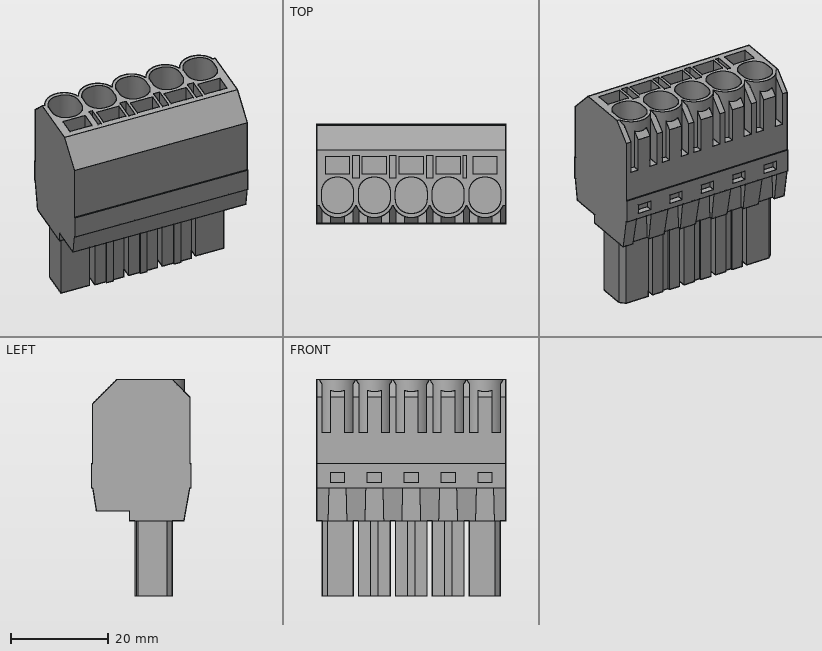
import cadquery as cq

pole_count = 5
pitch = 7.6
length = 39.0
depth = 20.6
height = 44.7

band_half_depth = depth / 2
body_half_depth = 10.05
skirt_half_depth = 10.0
band_top = 27.3
band_bottom = 22.25
skirt_bottom = 15.5
skirt_front_reach = 8.8
rear_step_z = 17.52
rear_step_reach = 9.25
rear_step_y = 2.45
front_chamfer = 3.65
rear_chamfer = 5.05

hole_y = -4.35
hole_width = 6.6
hole_length = 7.45
hole_corner_radius = 3.05
collar_y = -4.9
collar_radius = 4.02
cavity_floor = 33.75

finger_width = 2.85
slot_span = 6.3

window_width = 5.0
window_front_y = 0.1
window_rear_y = 3.65
marker_width = 1.4
last_marker_width = 0.7
marker_front_y = -0.75
marker_rear_y = 3.85

latch_width = 2.95
latch_bottom = 23.45
latch_top = 25.5
latch_depth = 1.35

recess_top_width = 3.55
recess_bottom_width = 3.9
recess_y = -8.1

peg_front_y = -6.4
middle_peg_rear_y = 0.95
end_peg_rear_y = 0.63
peg_width = 6.55
end_peg_outer = 3.17
peg_chamfer = 1.07
groove_width = 1.5
groove_depth = 0.45
rib_height = 0.35

pole_xs = [pitch * (i - (pole_count - 1) / 2) for i in range(pole_count)]


def box(x0, x1, y0, y1, z0, z1):
    """Axis-aligned box between two opposite corners."""
    return cq.Workplane("XY").box(x1 - x0, y1 - y0, z1 - z0, centered=False).translate((x0, y0, z0))


def housing():
    """Side profile extruded along the whole row."""
    profile = [
        (-body_half_depth + front_chamfer, height),
        (-body_half_depth, height - front_chamfer),
        (-body_half_depth, band_top),
        (-band_half_depth, band_top),
        (-band_half_depth, band_bottom),
        (-skirt_half_depth, band_bottom),
        (-skirt_front_reach, skirt_bottom),
        (rear_step_y, skirt_bottom),
        (rear_step_y, rear_step_z),
        (rear_step_reach, rear_step_z),
        (skirt_half_depth, band_bottom),
        (band_half_depth, band_bottom),
        (band_half_depth, band_top),
        (body_half_depth, band_top),
        (body_half_depth, height - rear_chamfer),
        (body_half_depth - rear_chamfer, height),
    ]
    return cq.Workplane("YZ").polyline(profile).close().extrude(length / 2, both=True)


def collar(x):
    """Round funnel wall standing in front of the top chamfer."""
    return (
        cq.Workplane("XY", origin=(x, collar_y, cavity_floor))
        .circle(collar_radius)
        .extrude(height - cavity_floor)
    )


def funnel_hole(x):
    """Wire hole, longer front to back than wide, with broadly rounded corners."""
    return (
        cq.Workplane("XY", origin=(x, hole_y, cavity_floor))
        .rect(hole_width, hole_length)
        .extrude(height - cavity_floor)
        .edges("|Z")
        .fillet(hole_corner_radius)
    )


def finger_slots(x):
    """Pair of front slots that leave a finger between them."""
    half_span = slot_span / 2
    half_finger = finger_width / 2
    left = box(x - half_span, x - half_finger, -band_half_depth, collar_y, cavity_floor, height)
    right = box(x + half_finger, x + half_span, -band_half_depth, collar_y, cavity_floor, height)
    return left.union(right)


def test_window(x):
    """Rectangular opening in the top, behind the wire hole."""
    half = window_width / 2
    return box(x - half, x + half, window_front_y, window_rear_y, cavity_floor, height)


def marker_slot(x, width):
    """Narrow slot in the top, to the right of the pole at x."""
    left_x = x + (pitch - marker_width) / 2
    return box(left_x, left_x + width, marker_front_y, marker_rear_y, cavity_floor, height)


def latch_window(x):
    """Shallow rectangular pocket in the front band."""
    half = latch_width / 2
    back_y = latch_depth - band_half_depth
    return box(x - half, x + half, -band_half_depth, back_y, latch_bottom, latch_top)


def skirt_recess(x):
    """Upright recess in the sloping front skirt, slightly wider at the bottom."""
    half_top = recess_top_width / 2
    half_bottom = recess_bottom_width / 2
    outline = [
        (x - half_bottom, skirt_bottom),
        (x + half_bottom, skirt_bottom),
        (x + half_top, band_bottom),
        (x - half_top, band_bottom),
    ]
    cut_depth = band_half_depth + recess_y
    return cq.Workplane("XZ", origin=(0, recess_y, 0)).polyline(outline).close().extrude(cut_depth)


def middle_peg(x):
    """Peg with a shallow groove down its front face and a low rib down its rear face."""
    half_width = peg_width / 2
    half_groove = groove_width / 2
    peg = box(x - half_width, x + half_width, peg_front_y, middle_peg_rear_y, 0, skirt_bottom)
    groove_floor_y = peg_front_y + groove_depth
    rib_rear_y = middle_peg_rear_y + rib_height
    groove = box(x - half_groove, x + half_groove, peg_front_y, groove_floor_y, 0, skirt_bottom)
    rib = box(x - half_groove, x + half_groove, middle_peg_rear_y, rib_rear_y, 0, skirt_bottom)
    return peg.cut(groove).union(rib)


def end_peg(x, side):
    """Peg with its outer front edge chamfered; side is -1 for the left end, 1 for the right."""
    inner_x = x - side * peg_width / 2
    outer_x = x + side * end_peg_outer
    outline = [
        (inner_x, peg_front_y),
        (outer_x - side * peg_chamfer, peg_front_y),
        (outer_x, peg_front_y + peg_chamfer),
        (outer_x, end_peg_rear_y),
        (inner_x, end_peg_rear_y),
    ]
    return cq.Workplane("XY").polyline(outline).close().extrude(skirt_bottom)


result = housing()

for x in pole_xs:
    result = result.cut(finger_slots(x))
for x in pole_xs:
    result = result.union(collar(x))

for x in pole_xs:
    result = result.cut(funnel_hole(x))
    result = result.cut(test_window(x))
    result = result.cut(latch_window(x))
    result = result.cut(skirt_recess(x))

for x in pole_xs[:-2]:
    result = result.cut(marker_slot(x, marker_width))
result = result.cut(marker_slot(pole_xs[-2], last_marker_width))

for x in pole_xs[1:-1]:
    result = result.union(middle_peg(x))
result = result.union(end_peg(pole_xs[0], -1)).union(end_peg(pole_xs[-1], 1))